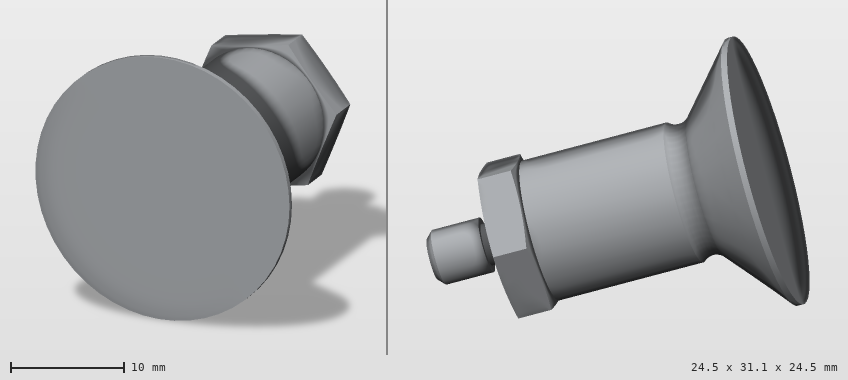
import cadquery as cq
import math

rim_top = 0.55
cone_top = 5.7
neck_top = 7.7
body_top = 21.08
nut_top = 25.1
relief_top = 26.1
length = 31.1

cup_diameter = 24.5
body_diameter = 12.8
neck_waist_diameter = 12.0
stud_diameter = 5.0
relief_diameter = 3.8

nut_across_flats = 13.0
nut_turn = 8.3
nut_upper_face_diameter = 9.33
nut_lower_face_diameter = 10.57
nut_upper_bevel = 0.47
nut_lower_bevel = 0.47

stud_chamfer = (stud_diameter - relief_diameter) / 2


def make_turned_body():
    """Suction cup, neck, cylindrical body and threaded stud about the Y axis."""
    cup_radius = cup_diameter / 2
    body_radius = body_diameter / 2
    relief_radius = relief_diameter / 2
    stud_radius = stud_diameter / 2
    neck_middle = (cone_top + neck_top) / 2
    profile = (
        cq.Workplane("XY")
        .lineTo(cup_radius, 0)
        .lineTo(cup_radius, rim_top)
        .lineTo(body_radius, cone_top)
        .threePointArc((neck_waist_diameter / 2, neck_middle), (body_radius, neck_top))
        .lineTo(body_radius, body_top)
        .lineTo(relief_radius, body_top)
        .lineTo(relief_radius, relief_top)
        .lineTo(stud_radius, relief_top)
        .lineTo(stud_radius, length - stud_chamfer)
        .lineTo(stud_radius - stud_chamfer, length)
        .lineTo(0, length)
        .close()
    )
    return profile.revolve(360, (0, 0), (0, 1))


def make_nut():
    """Hexagon trimmed by a shallow cone on each face."""
    corner_diameter = nut_across_flats / math.cos(math.radians(30))
    corner_radius = corner_diameter / 2
    hexagon = (
        cq.Workplane("XZ", origin=(0, body_top, 0))
        .polygon(6, corner_diameter)
        .extrude(body_top - nut_top)
        .rotate((0, 0, 0), (0, 1, 0), -nut_turn)
    )
    bevel_envelope = (
        cq.Workplane("XY")
        .moveTo(0, body_top)
        .lineTo(nut_lower_face_diameter / 2, body_top)
        .lineTo(corner_radius, body_top + nut_lower_bevel)
        .lineTo(corner_radius, nut_top - nut_upper_bevel)
        .lineTo(nut_upper_face_diameter / 2, nut_top)
        .lineTo(0, nut_top)
        .close()
        .revolve(360, (0, 0), (0, 1))
    )
    return hexagon.intersect(bevel_envelope)


result = make_turned_body().union(make_nut())